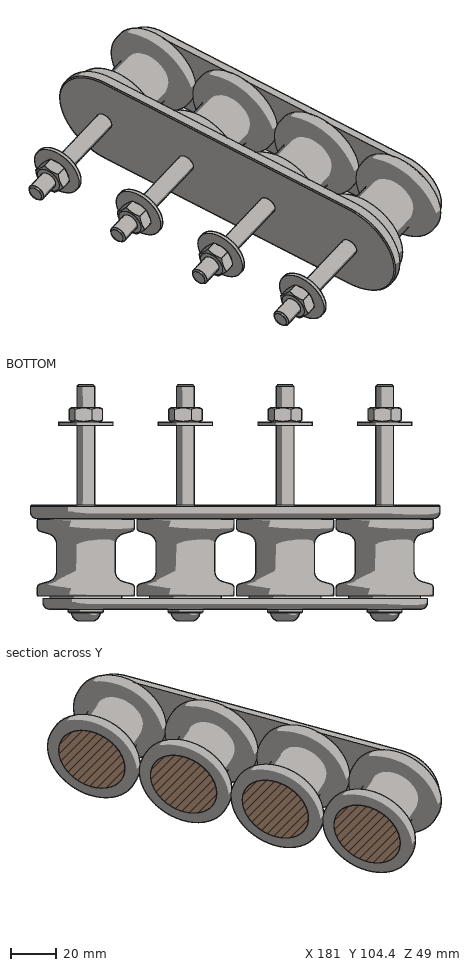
import cadquery as cq
import math

pin_count = 4
pin_pitch = 44.0
pin_positions = [(i - (pin_count - 1) / 2) * pin_pitch for i in range(pin_count)]
pin_span = pin_pitch * (pin_count - 1)

front_plate_width = 49.0
front_plate_thickness = 6.0
rear_plate_width = 38.0
rear_plate_thickness = 4.9
plate_edge_radius = 3.0
front_plate_chamfer = 0.5

roller_length = 34.0
flange_diameter = 43.0
waist_diameter = 26.0
waist_start = 11.0
flange_slope = math.radians(16)
flange_inner_radius = 2.0
flange_outer_radius = 0.7
shoulder_radius = 4.7

spacer_diameter = 31.9
front_spacer_thickness = 0.2
rear_spacer_thickness = 0.9

bolt_diameter = 8.0
bolt_tip_y = -53.2
bolt_tip_chamfer = 0.7
head_collar_diameter = 15.5
head_collar_thickness = 1.6
head_collar_chamfer = 0.5
head_diameter = 13.0
head_crown_diameter = 6.9
head_height = 5.2
dome_radius = 4.9

washer_diameter = 24.0
washer_thickness = 1.6
washer_rear_y = -35.1
nut_flats = 13.0
nut_face_diameter = 12.0
nut_height = 6.5
nut_turn = 9
nut_chamfer_angle = 30

roller_front_y = front_plate_thickness + front_spacer_thickness
roller_rear_y = roller_front_y + roller_length
rear_plate_front_y = roller_rear_y + rear_spacer_thickness
rear_plate_rear_y = rear_plate_front_y + rear_plate_thickness
nut_rear_y = washer_rear_y - washer_thickness


def xz_plane(y):
    """Workplane across the pins at the given Y, extruding toward +Y."""
    return cq.Workplane(cq.Plane((0, y, 0), (-1, 0, 0), (0, 1, 0)))


def disc(diameter, y, length):
    return xz_plane(y).circle(diameter / 2).extrude(length)


def turned(profile):
    """Revolve a closed profile drawn in XY around the Y axis."""
    return profile.close().revolve(360, (0, 0, 0), (0, 1, 0))


def plate(width, thickness, y):
    """Plate with round ends and a rounded rear edge."""
    body = xz_plane(y).slot2D(pin_span + width, width).extrude(thickness)
    return body.faces(">Y").edges().fillet(plate_edge_radius)


def roller_half():
    """Front half of a roller: flange, sloped flank, concave shoulder and half of the waist."""
    rim_r = flange_diameter / 2
    waist_r = waist_diameter / 2
    mid_y = roller_length / 2
    arc_depth = math.cos(flange_slope)
    arc_rise = 1 - math.sin(flange_slope)
    shoulder_r = waist_r + shoulder_radius * arc_rise
    shoulder_y = waist_start - shoulder_radius * arc_depth
    flank_r = rim_r - flange_inner_radius * arc_rise
    flank_y = shoulder_y - (flank_r - shoulder_r) * math.tan(flange_slope)
    rim_y = flank_y - flange_inner_radius * arc_depth
    profile = (
        cq.Workplane("XY")
        .lineTo(rim_r - flange_outer_radius, 0)
        .radiusArc((rim_r, flange_outer_radius), -flange_outer_radius)
        .lineTo(rim_r, rim_y)
        .radiusArc((flank_r, flank_y), -flange_inner_radius)
        .lineTo(shoulder_r, shoulder_y)
        .radiusArc((waist_r, waist_start), shoulder_radius)
        .lineTo(waist_r, mid_y)
        .lineTo(0, mid_y)
    )
    return turned(profile)


def roller():
    half = roller_half()
    other_half = half.mirror("XZ").translate((0, roller_length, 0))
    return half.union(other_half).translate((0, roller_front_y, 0))


def bolt():
    shank = disc(bolt_diameter, bolt_tip_y, rear_plate_rear_y - bolt_tip_y)
    shank = shank.faces("<Y").chamfer(bolt_tip_chamfer)
    crown_r = head_crown_diameter / 2
    head_r = head_diameter / 2
    dome = turned(
        cq.Workplane("XY", origin=(0, rear_plate_rear_y, 0))
        .lineTo(head_r, 0)
        .lineTo(head_r, head_collar_thickness)
        .radiusArc((crown_r, head_height), -dome_radius)
        .lineTo(0, head_height)
    )
    collar = disc(head_collar_diameter, rear_plate_rear_y, head_collar_thickness)
    collar = collar.faces(">Y").chamfer(head_collar_chamfer)
    return shank.union(collar).union(dome)


def nut():
    """Hexagonal nut with its corners coned off at both ends."""
    corner_diameter = nut_flats / math.cos(math.pi / 6)
    hexagon = xz_plane(nut_rear_y - nut_height).polygon(6, corner_diameter).extrude(nut_height)
    hexagon = hexagon.rotate((0, 0, 0), (0, 1, 0), nut_turn)
    face_r = nut_face_diameter / 2
    corner_r = corner_diameter / 2
    cone = (corner_r - face_r) * math.tan(math.radians(nut_chamfer_angle))
    envelope = turned(
        cq.Workplane("XY", origin=(0, nut_rear_y - nut_height, 0))
        .lineTo(face_r, 0)
        .lineTo(corner_r, cone)
        .lineTo(corner_r, nut_height - cone)
        .lineTo(face_r, nut_height)
        .lineTo(0, nut_height)
    )
    return hexagon.intersect(envelope)


def pin_stack():
    """Everything carried on one bolt."""
    front_spacer = disc(spacer_diameter, front_plate_thickness, front_spacer_thickness)
    rear_spacer = disc(spacer_diameter, roller_rear_y, rear_spacer_thickness)
    washer = disc(washer_diameter, nut_rear_y, washer_thickness)
    stack = bolt()
    for piece in (front_spacer, roller(), rear_spacer, washer, nut()):
        stack = stack.union(piece)
    return stack


front_plate = plate(front_plate_width, front_plate_thickness, 0)
front_plate = front_plate.faces("<Y").chamfer(front_plate_chamfer)
rear_plate = plate(rear_plate_width, rear_plate_thickness, rear_plate_front_y)

result = front_plate.union(rear_plate)
pin_assembly = pin_stack()
for x in pin_positions:
    result = result.union(pin_assembly.translate((x, 0, 0)))